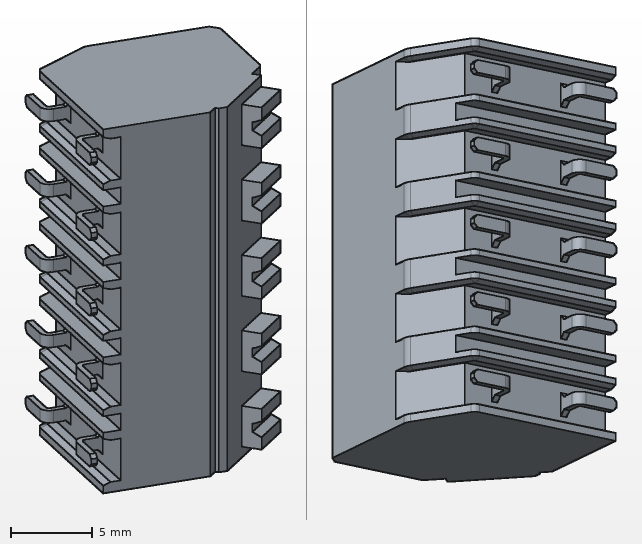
import cadquery as cq
import math

width = 12.7
depth = 12.87
height = 24.2
back_chamfer = 0.53
slant_start = 4.1
slant_slope = math.tan(math.radians(30))
left_fillet = 1.0
front_fillet = 0.5
back_fillet = 0.48

notch_x, notch_y = 8.0, 11.85
step_rise = 0.44
ledge_x = 12.32
lip_length = 0.58
lip_undercut = 0.17

pole_count = 5
pole_pitch = 5.0

channel_depth = 1.15
channel_slant_start = 5.28
channel_width = 2.78
bevel_width = 0.48
bevel_height = 0.17

slot_width = 1.1

lead_thickness = 0.4
lead_width = 0.82
lead_drop = 0.65
lead_length = 2.9
lead_tip_chamfer = 0.25
bend_radius = 0.63
lead_root_width = 1.5
left_lead_tip = 1.86
right_lead_tip = 12.35

button_start = 0.07
button_length = 3.07
button_rise = 1.3
button_width = 2.7
groove_mouth = 1.06
groove_floor = 0.53
groove_depth = 0.6

slant_end = slant_start * slant_slope
back_corner = (notch_x + notch_y - depth, depth)
slope_x = notch_x + step_rise
slope_y = notch_y + step_rise
ledge_y = slope_y - (ledge_x - slope_x)
lip_y = ledge_y - lip_length
pole_heights = [(i - (pole_count - 1) / 2) * pole_pitch for i in range(pole_count)]


def prism(points, length):
    """Polygon in the XY plane, extruded evenly to both sides of z = 0."""
    return cq.Workplane("XY").polyline(points).close().extrude(length / 2, both=True)


def round_corner(solid, corner, radius):
    """Fillet the vertical edge at a corner of a prism centred on z = 0."""
    x, y = corner
    return solid.edges(cq.selectors.NearestToPointSelector((x, y, 0))).fillet(radius)


def housing_prism():
    """Full housing without channels or slots."""
    undercut_x = ledge_x - lip_undercut
    undercut_y = lip_y - lip_undercut
    outline = [
        (slant_end, 0),
        (width, 0),
        (width, undercut_y - (width - undercut_x)),
        (undercut_x, undercut_y),
        (ledge_x, lip_y),
        (ledge_x, ledge_y),
        (slope_x, slope_y),
        (notch_x, notch_y),
        back_corner,
        (back_chamfer, depth),
        (0, depth - back_chamfer),
        (0, slant_start),
    ]
    body = prism(outline, height)
    body = round_corner(body, (0, slant_start), left_fillet)
    body = round_corner(body, (slant_end, 0), front_fillet)
    return round_corner(body, back_corner, back_fillet)


def beveled_channel(z):
    """Channel around the front, following its outline; open on the left and right faces."""
    floor_x = (channel_slant_start - channel_depth) * slant_slope
    mouth = prism(
        [
            (0, channel_slant_start),
            (floor_x, channel_depth),
            (width, channel_depth),
            (width, 0),
            (0, 0),
        ],
        channel_width + 2 * bevel_height,
    )
    wall_outline = [
        (slant_end, 0),
        (width + depth, 0),
        (width + depth, depth),
        (0, depth),
        (0, slant_start),
    ]
    wall = prism(wall_outline, channel_width)
    wall = round_corner(wall, (0, slant_start), left_fillet)
    wall = round_corner(wall, (slant_end, 0), front_fillet)
    taper = math.degrees(math.atan2(bevel_width, bevel_height))
    upper_face = wall.faces(">Z").wires().toPending().workplane()
    bevel = upper_face.extrude(bevel_height, taper=taper, combine=False)
    lower = bevel.translate((0, 0, -channel_width - bevel_height))
    upper = lower.mirror("XY")
    return mouth.cut(lower).cut(upper).translate((0, 0, z))


def wall_slot(z):
    """Straight slot across the front of the wall between two channels."""
    slot = cq.Workplane("XY").box(width, channel_depth, slot_width, centered=(False, False, True))
    return slot.translate((0, 0, z))


def lead():
    """Lead bent towards -X, its tip on x = 0."""
    inner_radius = bend_radius - lead_thickness
    bend_x = lead_length - bend_radius
    bend_y = bend_radius - lead_drop
    diagonal = math.sqrt(0.5)
    strip = (
        cq.Workplane("XY")
        .moveTo(0, -lead_drop)
        .lineTo(bend_x, -lead_drop)
        .threePointArc(
            (bend_x + bend_radius * diagonal, bend_y - bend_radius * diagonal),
            (lead_length, bend_y),
        )
        .lineTo(lead_length, channel_depth)
        .lineTo(lead_length - lead_thickness, channel_depth)
        .lineTo(lead_length - lead_thickness, bend_y)
        .threePointArc(
            (bend_x + inner_radius * diagonal, bend_y - inner_radius * diagonal),
            (bend_x, lead_thickness - lead_drop),
        )
        .lineTo(0, lead_thickness - lead_drop)
        .close()
        .extrude(lead_width / 2, both=True)
        .edges("|Y and <X")
        .chamfer(lead_tip_chamfer)
    )
    flare = (lead_root_width - lead_width) / 2
    root = (
        cq.Workplane("YZ", origin=(lead_length - lead_thickness, 0, 0))
        .moveTo(channel_depth, -lead_root_width / 2)
        .lineTo(channel_depth, lead_root_width / 2)
        .lineTo(channel_depth - flare, lead_width / 2)
        .lineTo(channel_depth - flare, -lead_width / 2)
        .close()
        .extrude(lead_thickness)
    )
    return strip.union(root)


def button(z):
    """Push button standing on the slope, built flat and then turned by 45 degrees."""
    block = cq.Workplane("XY").box(button_length, button_rise, button_width, centered=(False, False, True))
    groove = (
        cq.Workplane("YZ")
        .moveTo(button_rise, -groove_mouth / 2)
        .lineTo(button_rise, groove_mouth / 2)
        .lineTo(button_rise - groove_depth, groove_floor / 2)
        .lineTo(button_rise - groove_depth, -groove_floor / 2)
        .close()
        .extrude(button_length)
    )
    return (
        block.cut(groove)
        .translate((button_start, 0, 0))
        .rotate((0, 0, 0), (0, 0, 1), -45)
        .translate((slope_x, slope_y, z))
    )


left_lead = lead().translate((left_lead_tip, 0, 0))
right_lead = lead().mirror("YZ").translate((right_lead_tip, 0, 0))

result = housing_prism()
for z in pole_heights:
    result = result.cut(beveled_channel(z))
for z in pole_heights[:-1]:
    result = result.cut(wall_slot(z + pole_pitch / 2))
for z in pole_heights:
    result = result.union(left_lead.translate((0, 0, z)))
    result = result.union(right_lead.translate((0, 0, z)))
    result = result.union(button(z))